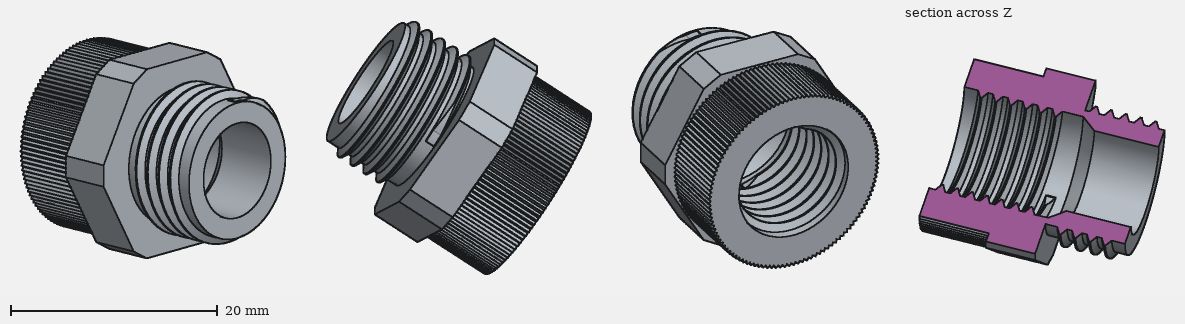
import cadquery as cq
import math

KNURL_LENGTH = 7.0
HEX_LENGTH = 5.0
SPIGOT_LENGTH = 8.0
TOTAL_LENGTH = KNURL_LENGTH + HEX_LENGTH + SPIGOT_LENGTH

KNURL_TIP_RADIUS = 9.35
KNURL_ROOT_RADIUS = 9.08
KNURL_TEETH = 120

HEX_ACROSS_FLATS = 19.0
HEX_ACROSS_CORNERS = 20.7
HEX_HALF_ANGLE = 30.0

SPIGOT_DIAMETER = 13.6
SOCKET_DIAMETER = 12.0
SOCKET_THREAD_DIAMETER = 10.53
BORE_DIAMETER = 9.5
SOCKET_DEPTH = KNURL_LENGTH + HEX_LENGTH
BORE_CONE_ANGLE = 40.0

SPIGOT_THREAD_TRAVEL = 6.75
SPIGOT_THREAD_TURNS = 4.5
PITCH = SPIGOT_THREAD_TRAVEL / SPIGOT_THREAD_TURNS
CREST_WIDTH = 0.17
RIDGE_HEIGHT = (SOCKET_DIAMETER - SOCKET_THREAD_DIAMETER) / 2
FLANK_ANGLE = 30.0
FLANK_SLOPE = math.tan(math.radians(FLANK_ANGLE))
RIDGE_FOOT_HALF = CREST_WIDTH / 2 + RIDGE_HEIGHT * FLANK_SLOPE
ROOT_OVERLAP = 0.08
POINTS_PER_TURN = 32

STUB_HEIGHT = 0.08
RUN_OUT_CLEARANCE = 0.1
RUN_OUT_LEAD = 5.0
RAMP_POINTS = 8

SPIGOT_THREAD_SETBACK = 0.54
SPIGOT_THREAD_START = KNURL_LENGTH + HEX_LENGTH + SPIGOT_THREAD_SETBACK
SPIGOT_THREAD_ANGLE = -90.0
SPIGOT_STUB_ANGLE = 11.0
SPIGOT_RAMP_ANGLE = 26.0

SOCKET_THREAD_START = 0.79
SOCKET_THREAD_TURNS = 6.5
SOCKET_THREAD_ANGLE = 90.0
SOCKET_STUB_ANGLE = 1.0
SOCKET_RAMP_ANGLE = 17.0


def knurled_cap():
    """Star-shaped prism with one sharp tooth tip on +Y."""
    points = []
    step = math.pi / KNURL_TEETH
    for i in range(2 * KNURL_TEETH):
        radius = KNURL_ROOT_RADIUS if i % 2 else KNURL_TIP_RADIUS
        points.append((radius * math.cos(i * step), radius * math.sin(i * step)))
    return cq.Workplane("YZ").polyline(points).close().extrude(KNURL_LENGTH)


def hexagon():
    """Hexagon with flats on +Z and -Z, its corners cut flat by a second, turned hexagon."""

    def hex_plate(across_flats, turn):
        plate = cq.Workplane("YZ", origin=(KNURL_LENGTH, 0, 0))
        corner_circle = across_flats / math.cos(math.radians(HEX_HALF_ANGLE))
        return plate.transformed(rotate=(0, 0, turn)).polygon(6, corner_circle).extrude(HEX_LENGTH)

    return hex_plate(HEX_ACROSS_FLATS, 0).intersect(hex_plate(HEX_ACROSS_CORNERS, HEX_HALF_ANGLE))


def axial_point(x, radius, angle):
    """Point at a distance from the X axis, its angle in degrees from +Y towards +Z."""
    turn = math.radians(angle)
    return cq.Vector(x, radius * math.cos(turn), radius * math.sin(turn))


def full_ridge(root_radius, outward, start_x, start_angle, turns):
    """Helical ridge of constant height on a cylinder; outward is 1 for outside, -1 for inside."""
    count = math.ceil(POINTS_PER_TURN * turns)

    def corner_edge(side, height):
        offset = side * (RIDGE_FOOT_HALF - height * FLANK_SLOPE)
        points = []
        for i in range(count + 1):
            travelled = turns * i / count
            x = start_x + PITCH * travelled + offset
            points.append(axial_point(x, root_radius + outward * height, start_angle + 360 * travelled))
        return cq.Edge.makeSpline(points)

    corners = [
        corner_edge(-1, -ROOT_OVERLAP),
        corner_edge(-1, RIDGE_HEIGHT),
        corner_edge(1, RIDGE_HEIGHT),
        corner_edge(1, -ROOT_OVERLAP),
    ]
    faces = []
    for i in range(len(corners)):
        faces.append(cq.Face.makeRuledSurface(corners[i - 1], corners[i]))
    for end in (0, 1):
        tips = [corner.positionAt(end) for corner in corners]
        faces.append(cq.Face.makeFromWires(cq.Wire.makePolygon(tips, close=True)))
    solid = cq.Solid.makeSolid(cq.Shell.makeShell(faces))
    return cq.Workplane(solid.fix())


def run_out(root_radius, outward, end_x, end_angle, inward_turn, stub_angle, ramp_angle):
    """Waste above a ridge end: a low stub, then an even rise to the full height.

    inward_turn is 1 or -1, the sense of rotation that leads from the end into the thread.
    """
    stub_radius = root_radius + outward * STUB_HEIGHT
    clear_radius = root_radius + outward * (RIDGE_HEIGHT + RUN_OUT_CLEARANCE)
    rise = RIDGE_HEIGHT + RUN_OUT_CLEARANCE - STUB_HEIGHT
    ramp_travel = ramp_angle * rise / (RIDGE_HEIGHT - STUB_HEIGHT)
    start_x = end_x - PITCH / 2

    def at(radius, travelled):
        return axial_point(start_x, radius, end_angle + inward_turn * travelled)

    ramp = []
    for i in range(RAMP_POINTS + 1):
        share = i / RAMP_POINTS
        ramp.append(at(stub_radius + outward * rise * share, stub_angle + ramp_travel * share))

    before = -RUN_OUT_LEAD
    after = stub_angle + ramp_travel
    outline = [
        cq.Edge.makeThreePointArc(
            at(stub_radius, before), at(stub_radius, (before + stub_angle) / 2), at(stub_radius, stub_angle)
        ),
        cq.Edge.makeSpline(ramp),
        cq.Edge.makeThreePointArc(
            at(clear_radius, after), at(clear_radius, (before + after) / 2), at(clear_radius, before)
        ),
        cq.Edge.makeLine(at(clear_radius, before), at(stub_radius, before)),
    ]
    wire = cq.Wire.assembleEdges(outline)
    return cq.Workplane(cq.Solid.extrudeLinear(wire, [], cq.Vector(PITCH, 0, 0)))


def thread_ridge(root_radius, outward, start_x, start_angle, turns, stub_angle, ramp_angle):
    """Helical ridge that runs out at both ends."""
    end_x = start_x + PITCH * turns
    end_angle = start_angle + 360 * turns
    ridge = full_ridge(root_radius, outward, start_x, start_angle, turns)
    ridge = ridge.cut(run_out(root_radius, outward, start_x, start_angle, 1, stub_angle, ramp_angle))
    return ridge.cut(run_out(root_radius, outward, end_x, end_angle, -1, stub_angle, ramp_angle))


def socket_and_bore():
    """Cavity open at both ends: wide socket, cone, narrower bore."""
    socket_radius = SOCKET_DIAMETER / 2
    bore_radius = BORE_DIAMETER / 2
    cone_length = (socket_radius - bore_radius) / math.tan(math.radians(BORE_CONE_ANGLE))
    half_section = (
        cq.Workplane("XY")
        .lineTo(0, socket_radius)
        .lineTo(SOCKET_DEPTH, socket_radius)
        .lineTo(SOCKET_DEPTH + cone_length, bore_radius)
        .lineTo(TOTAL_LENGTH, bore_radius)
        .lineTo(TOTAL_LENGTH, 0)
        .close()
    )
    return half_section.revolve(360, (0, 0, 0), (1, 0, 0))


def spigot():
    base = cq.Workplane("YZ", origin=(KNURL_LENGTH + HEX_LENGTH, 0, 0))
    return base.circle(SPIGOT_DIAMETER / 2).extrude(SPIGOT_LENGTH)


def spigot_thread():
    return thread_ridge(
        SPIGOT_DIAMETER / 2,
        1,
        SPIGOT_THREAD_START,
        SPIGOT_THREAD_ANGLE,
        SPIGOT_THREAD_TURNS,
        SPIGOT_STUB_ANGLE,
        SPIGOT_RAMP_ANGLE,
    )


def socket_thread():
    return thread_ridge(
        SOCKET_DIAMETER / 2,
        -1,
        SOCKET_THREAD_START,
        SOCKET_THREAD_ANGLE,
        SOCKET_THREAD_TURNS,
        SOCKET_STUB_ANGLE,
        SOCKET_RAMP_ANGLE,
    )


body = knurled_cap().union(hexagon()).union(spigot())
body = body.cut(socket_and_bore())
body = body.union(spigot_thread()).union(socket_thread())
result = cq.Workplane(body.solids().val())